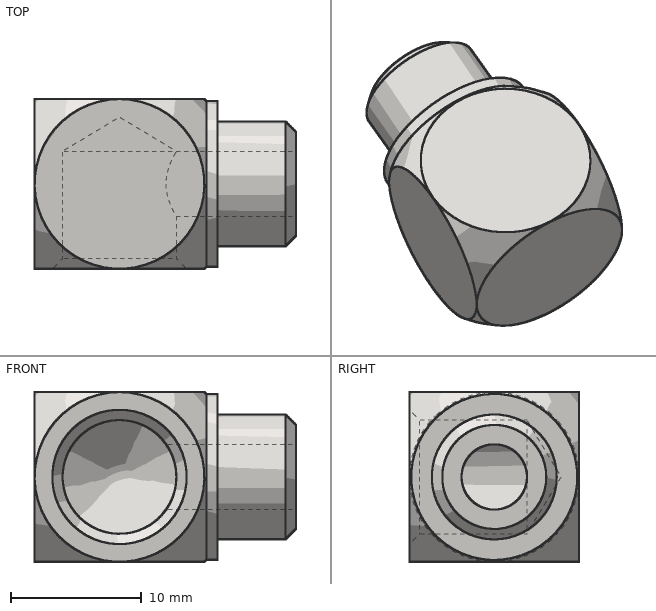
import cadquery as cq
import math

total_length = 20
body_size = 13
flat_diameter = 12.98
collar_diameter = 12.7
collar_end = 7.5
stud_diameter = 9.55
stud_chamfer = 0.8
bore_diameter = 8.7
mouth_diameter = 10.28
mouth_depth = 0.8
passage_diameter = 5
drill_point_angle = 118

half_body = body_size / 2
stud_end = total_length - half_body
sphere_radius = math.hypot(half_body, flat_diameter / 2)
collar_radius = collar_diameter / 2
collar_start = math.sqrt(sphere_radius**2 - collar_radius**2)
stud_radius = stud_diameter / 2
bore_radius = bore_diameter / 2
passage_radius = passage_diameter / 2
bore_floor = passage_radius
bore_tip = bore_floor + bore_radius / math.tan(math.radians(drill_point_angle / 2))


def make_turned_shape():
    """Sphere, collar and chamfered stud turned as one profile about X."""
    return (
        cq.Workplane("XY")
        .moveTo(-sphere_radius, 0)
        .threePointArc((0, sphere_radius), (collar_start, collar_radius))
        .lineTo(collar_end, collar_radius)
        .lineTo(collar_end, stud_radius)
        .lineTo(stud_end - stud_chamfer, stud_radius)
        .lineTo(stud_end, stud_radius - stud_chamfer)
        .lineTo(stud_end, 0)
        .close()
        .revolve(360, (0, 0, 0), (1, 0, 0))
    )


def make_envelope():
    """Square bar that cuts the five exposed flats on the turned shape."""
    return (
        cq.Workplane("YZ", origin=(-half_body, 0, 0))
        .rect(body_size, body_size)
        .extrude(total_length)
    )


def make_bore():
    """Countersunk blind bore along Y with a conical drill point."""
    return (
        cq.Workplane("XY")
        .moveTo(0, -half_body)
        .lineTo(mouth_diameter / 2, -half_body)
        .lineTo(bore_radius, -half_body + mouth_depth)
        .lineTo(bore_radius, bore_floor)
        .lineTo(0, bore_tip)
        .close()
        .revolve(360, (0, 0, 0), (0, 1, 0))
    )


def make_passage():
    """Round passage from the bore out through the end of the stud."""
    return cq.Workplane("YZ").circle(passage_radius).extrude(stud_end)


result = make_turned_shape().intersect(make_envelope())
result = result.cut(make_bore()).cut(make_passage())